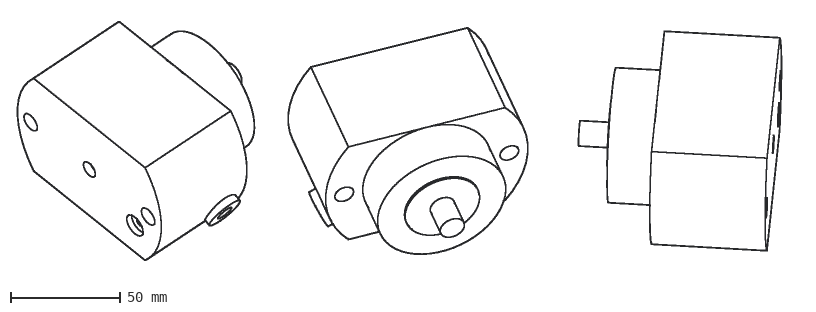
import cadquery as cq
import math

body_diameter = 98.0
body_height = 62.0
body_depth = 53.0

boss_depth = 21.0
collar_diameter = 36.0
collar_depth = 1.0
shaft_diameter = 11.7
shaft_length = 14.1

mounting_offset = 40.0
mounting_diameter = 9.0
center_hole_diameter = 8.0
center_hole_depth = 4.0
screw_radius = 33.6
screw_head_diameter = 11.0
screw_head_depth = 3.0
screw_hole_diameter = 4.1

outlet_angle = math.radians(-22.9)
outlet_diameter = 18.1
outlet_end_radius = 52.0
outlet_root_radius = 40.2
outlet_y = 40.2
outlet_bore_diameter = 8.0
bore_start_radius = screw_radius - outlet_bore_diameter / 2
bore_length = outlet_end_radius - bore_start_radius

outlet_direction = cq.Vector(math.cos(outlet_angle), 0, math.sin(outlet_angle))


def cylinder_y(diameter, start_y, length, x=0, z=0):
    """Cylinder running toward +Y from start_y."""
    solid = cq.Solid.makeCylinder(diameter / 2, length, cq.Vector(x, start_y, z), cq.Vector(0, 1, 0))
    return cq.Workplane(obj=solid)


def outlet_cylinder(diameter, start_radius, length):
    """Cylinder running outward along the cable outlet axis."""
    start = outlet_direction * start_radius + cq.Vector(0, outlet_y, 0)
    solid = cq.Solid.makeCylinder(diameter / 2, length, start, outlet_direction)
    return cq.Workplane(obj=solid)


flats = cq.Workplane().box(body_diameter, body_depth, body_height).translate((0, body_depth / 2, 0))
result = cylinder_y(body_diameter, 0, body_depth).intersect(flats)

step_y = body_depth
for diameter, length in (
    (body_height, boss_depth),
    (collar_diameter, collar_depth),
    (shaft_diameter, shaft_length),
):
    result = result.union(cylinder_y(diameter, step_y, length))
    step_y += length

outlet_length = outlet_end_radius - outlet_root_radius
result = result.union(outlet_cylinder(outlet_diameter, outlet_root_radius, outlet_length))

for side in (-1, 1):
    result = result.cut(cylinder_y(mounting_diameter, 0, body_depth, x=side * mounting_offset))

result = result.cut(cylinder_y(center_hole_diameter, 0, center_hole_depth))

screw_x = screw_radius * math.cos(outlet_angle)
screw_z = screw_radius * math.sin(outlet_angle)
result = result.cut(cylinder_y(screw_head_diameter, 0, screw_head_depth, screw_x, screw_z))
result = result.cut(cylinder_y(screw_hole_diameter, 0, outlet_y, screw_x, screw_z))

result = result.cut(outlet_cylinder(outlet_bore_diameter, bore_start_radius, bore_length))